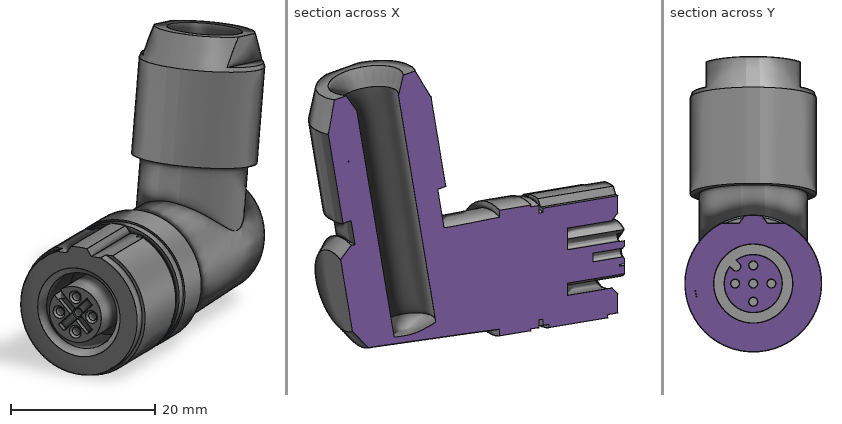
import cadquery as cq
import math


NUT_FRONT = 1.1
NUT_LIP_END = 2.67
NUT_GRIP_END = 12.14
NUT_REAR = 13.12
RING_START = 13.67
COLLAR_START = 14.97
COLLAR_END = 20.0
OUTER_RADIUS = 9.5
NUT_LIP_RADIUS = 9.05
GROOVE_RADIUS = 8.2
RING_RADIUS = 9.25

FLAT_HEIGHT = 8.4
RIB_TOP_WIDTH = 2.35
RIB_BASE_WIDTH = 3.9

MOUTH_RADIUS = 6.4
SOCKET_RADIUS = 5.47
SOCKET_DEPTH = 8.0
INSERT_RADIUS = 4.04
KEYWAY_RADIUS = 0.62
KEYWAY_CENTRE = 3.35
CROSS_LENGTH = 6.2
CROSS_WIDTH = 1.15
CROSS_DEPTH = 0.8
CONTACT_CIRCLE_RADIUS = 2.52
CONTACT_COUNT = 4
CONTACT_MOUTH_RADIUS = 0.92
CONTACT_RADIUS = 0.6
CENTRE_MOUTH_RADIUS = 0.76
CONTACT_DEPTH = 5.0

BODY_RADIUS = 8.55
BODY_DRAFT = 1.2
ARM_LEAN = 10.0
END_CENTRE = 42.3
END_CAP_HEIGHT = 2.03
END_CAP_RADIUS = 6.0
END_CAP_RISE = 0.83

ARM_POSITION = 34.57
NECK_RADIUS = 7.5
NECK_FLAT_WIDTH = 3.3
SLEEVE_BOTTOM = 12.6
SHOULDER = 26.15
ARM_TOP = 30.77
SLEEVE_RADIUS = 8.75
SLEEVE_FLAT_WIDTH = 2.0
TOP_RADIUS = 7.03
WRENCH_WIDTH = 13.1
WRENCH_STEP = 0.6
CABLE_MOUTH_RADIUS = 5.27
CABLE_RADIUS = 4.18
CABLE_MOUTH_DEPTH = 2.7
CABLE_DEPTH = 37.0
CABLE_TIP_DEPTH = 1.2

lean_sin = math.sin(math.radians(ARM_LEAN))
lean_cos = math.cos(math.radians(ARM_LEAN))
arm_plane = cq.Plane(origin=(0, ARM_POSITION, 0), xDir=(1, 0, 0), normal=(0, lean_sin, lean_cos))
end_plane = cq.Plane(origin=(0, END_CENTRE, 0), xDir=(1, 0, 0), normal=(0, lean_cos, -lean_sin))


def disc(radius, start, end):
    """Cylinder about the Y axis between two Y positions."""
    return cq.Workplane("XZ", origin=(0, start, 0)).circle(radius).extrude(start - end)


def frustum(front_radius, rear_radius, start, end, x=0, z=0):
    """Cone frustum parallel to the Y axis between two Y positions."""
    axis = cq.Vector(0, 1, 0)
    cone = cq.Solid.makeCone(front_radius, rear_radius, end - start, cq.Vector(x, start, z), axis)
    return cq.Workplane("XY").add(cone)


def make_nut():
    """Coupling nut with stepped ends, a flat with a coding rib on top, and a bevelled socket."""
    nut = disc(NUT_LIP_RADIUS, NUT_FRONT, NUT_REAR).union(disc(OUTER_RADIUS, NUT_LIP_END, NUT_GRIP_END))
    length = NUT_REAR - NUT_FRONT
    centre = (NUT_FRONT + NUT_REAR) / 2
    above_flat = cq.Workplane("XY", origin=(0, centre, FLAT_HEIGHT)).box(
        2 * OUTER_RADIUS, length, OUTER_RADIUS, centered=(True, True, False)
    )
    rib = (
        cq.Workplane("XZ", origin=(0, NUT_FRONT, 0))
        .moveTo(-RIB_BASE_WIDTH / 2, 0)
        .lineTo(-RIB_BASE_WIDTH / 2, FLAT_HEIGHT)
        .lineTo(-RIB_TOP_WIDTH / 2, OUTER_RADIUS)
        .lineTo(RIB_TOP_WIDTH / 2, OUTER_RADIUS)
        .lineTo(RIB_BASE_WIDTH / 2, FLAT_HEIGHT)
        .lineTo(RIB_BASE_WIDTH / 2, 0)
        .close()
        .extrude(-length)
        .intersect(disc(OUTER_RADIUS, NUT_FRONT, NUT_REAR))
    )
    nut = nut.cut(above_flat).union(rib)
    mouth_end = NUT_FRONT + MOUTH_RADIUS - SOCKET_RADIUS
    nut = nut.cut(disc(SOCKET_RADIUS, NUT_FRONT, NUT_FRONT + SOCKET_DEPTH))
    return nut.cut(frustum(MOUTH_RADIUS, SOCKET_RADIUS, NUT_FRONT, mouth_end))


def contact_hole(mouth_radius, start, x, z):
    """Countersunk contact hole; the countersink is at 45 degrees."""
    sink_end = start + mouth_radius - CONTACT_RADIUS
    hole = frustum(mouth_radius, CONTACT_RADIUS, start, sink_end, x, z)
    return hole.union(disc(CONTACT_RADIUS, start, CONTACT_DEPTH).translate((x, 0, z)))


def make_insert():
    """Contact insert standing in the socket, slightly proud of the nut."""
    root = NUT_FRONT + SOCKET_DEPTH
    insert = disc(INSERT_RADIUS, 0, root)

    for angle in (45, -45):
        arm = cq.Workplane("XZ").rect(CROSS_LENGTH, CROSS_WIDTH).extrude(-CROSS_DEPTH)
        insert = insert.cut(arm.rotate((0, 0, 0), (0, 1, 0), angle))

    keyway = (
        cq.Workplane("XZ")
        .center(-KEYWAY_CENTRE - INSERT_RADIUS / 2, 0)
        .rect(INSERT_RADIUS, 2 * KEYWAY_RADIUS)
        .extrude(-root)
        .union(disc(KEYWAY_RADIUS, 0, root).translate((-KEYWAY_CENTRE, 0, 0)))
    )
    insert = insert.cut(keyway.rotate((0, 0, 0), (0, 1, 0), 45))

    for index in range(CONTACT_COUNT):
        angle = 2 * math.pi * index / CONTACT_COUNT
        x = CONTACT_CIRCLE_RADIUS * math.cos(angle)
        z = CONTACT_CIRCLE_RADIUS * math.sin(angle)
        insert = insert.cut(contact_hole(CONTACT_MOUTH_RADIUS, 0, x, z))
    return insert.cut(contact_hole(CENTRE_MOUTH_RADIUS, CROSS_DEPTH, 0, 0))


def make_body():
    """Drafted elbow barrel with a slanted bevelled end, joined to the grooved collar."""
    taper = math.tan(math.radians(BODY_DRAFT))
    length = END_CENTRE - COLLAR_END + BODY_RADIUS
    small_radius = BODY_RADIUS - length * taper
    barrel = frustum(BODY_RADIUS, small_radius, COLLAR_END, COLLAR_END + length)
    behind_end = cq.Workplane(end_plane).rect(4 * BODY_RADIUS, 4 * BODY_RADIUS).extrude(length)
    barrel = barrel.cut(behind_end)

    end_radius = BODY_RADIUS - (END_CENTRE - COLLAR_END) * taper
    cap = (
        cq.Workplane(end_plane)
        .ellipse(end_radius, end_radius / lean_cos)
        .workplane(offset=END_CAP_HEIGHT)
        .center(0, -END_CAP_RISE)
        .circle(END_CAP_RADIUS)
        .loft(ruled=True)
    )
    groove = disc(GROOVE_RADIUS, NUT_REAR, RING_START)
    ring = disc(RING_RADIUS, RING_START, COLLAR_START)
    collar = disc(OUTER_RADIUS, COLLAR_START, COLLAR_END)
    return barrel.union(cap).union(groove).union(ring).union(collar)


def flat_depth(radius, width):
    """How far a flat of the given width lies inside the round surface."""
    return radius - math.sqrt(radius**2 - (width / 2) ** 2)


def flatted_turning(outline, flat_width):
    """Turned part upright about local Z with a narrow flat down its front and back.

    The outline is a list of (radius, height); the flats follow it at a constant inset.
    """
    bottom = outline[0][1]
    top = outline[-1][1]
    turned = (
        cq.Workplane("XZ")
        .polyline([(0, bottom)] + outline + [(0, top)])
        .close()
        .revolve(360, (0, 0, 0), (0, 1, 0))
    )
    inset = flat_depth(outline[0][0], flat_width)
    front = [(inset - radius, height) for radius, height in outline]
    back = [(radius - inset, height) for radius, height in reversed(outline)]
    width = 2 * outline[0][0]
    slab = cq.Workplane("YZ").polyline(front + back).close().extrude(width, both=True)
    return turned.intersect(slab)


def make_arm():
    """Neck and clamping sleeve of the cable arm, upright about Z."""
    neck = flatted_turning([(NECK_RADIUS, 0), (NECK_RADIUS, SLEEVE_BOTTOM)], NECK_FLAT_WIDTH)
    sleeve = flatted_turning(
        [(SLEEVE_RADIUS, SLEEVE_BOTTOM), (SLEEVE_RADIUS, SHOULDER), (TOP_RADIUS, ARM_TOP)],
        SLEEVE_FLAT_WIDTH,
    )
    for side in (-1, 1):
        centre_x = side * (WRENCH_WIDTH + SLEEVE_RADIUS) / 2
        beside_flat = cq.Workplane("XY", origin=(centre_x, 0, SHOULDER + WRENCH_STEP)).box(
            SLEEVE_RADIUS, 2 * SLEEVE_RADIUS, ARM_TOP, centered=(True, True, False)
        )
        sleeve = sleeve.cut(beside_flat)
    return neck.union(sleeve)


def make_cable_bore():
    """Blind bore with a tapered mouth and a shallow conical bottom."""
    mouth_bottom = ARM_TOP - CABLE_MOUTH_DEPTH
    bottom = ARM_TOP - CABLE_DEPTH
    return (
        cq.Workplane("XZ")
        .moveTo(0, bottom - CABLE_TIP_DEPTH)
        .lineTo(CABLE_RADIUS, bottom)
        .lineTo(CABLE_RADIUS, mouth_bottom)
        .lineTo(CABLE_MOUTH_RADIUS, ARM_TOP)
        .lineTo(0, ARM_TOP)
        .close()
        .revolve(360, (0, 0, 0), (0, 1, 0))
    )


def on_arm_axis(shape):
    """Place a shape built upright at the origin onto the leaning arm axis."""
    return cq.Workplane("XY").add(shape.val().moved(cq.Location(arm_plane)))


connector = make_body().union(make_nut()).union(make_insert())
result = connector.union(on_arm_axis(make_arm())).cut(on_arm_axis(make_cable_bore()))